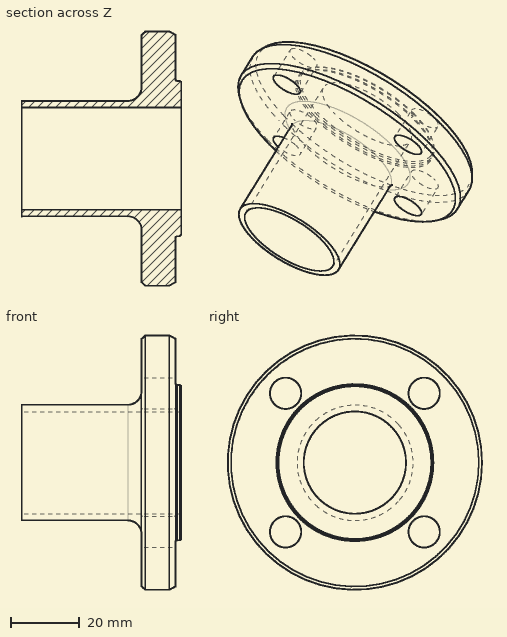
import cadquery as cq
import math

total_length = 46.5
flange_diameter = 74.0
flange_thickness = 9.9
raised_face_diameter = 45.3
raised_face_height = 1.7
pipe_diameter = 33.7
bore_diameter = 29.7
neck_fillet = 4.0

back_chamfer_depth = 1.0
back_chamfer_length = 1.1
front_chamfer_depth = 0.95
front_chamfer_length = 1.8
root_flare_rise = 0.2
root_flare_length = 0.45
face_edge_chamfer = 0.45

bolt_hole_count = 4
bolt_hole_diameter = 9.0
bolt_circle_diameter = 57.0

face_x = total_length / 2
pipe_end_x = -total_length / 2
flange_front_x = face_x - raised_face_height
flange_back_x = flange_front_x - flange_thickness

flange_radius = flange_diameter / 2
face_radius = raised_face_diameter / 2
pipe_radius = pipe_diameter / 2
bore_radius = bore_diameter / 2


def make_body():
    """Revolve the half section of pipe, neck fillet, flange and raised face."""
    fillet_centre_x = flange_back_x - neck_fillet
    fillet_centre_r = pipe_radius + neck_fillet
    diagonal = neck_fillet * math.sqrt(0.5)
    section = (
        cq.Workplane("XY")
        .moveTo(pipe_end_x, bore_radius)
        .lineTo(pipe_end_x, pipe_radius)
        .lineTo(fillet_centre_x, pipe_radius)
        .threePointArc(
            (fillet_centre_x + diagonal, fillet_centre_r - diagonal),
            (flange_back_x, fillet_centre_r),
        )
        .lineTo(flange_back_x, flange_radius - back_chamfer_depth)
        .lineTo(flange_back_x + back_chamfer_length, flange_radius)
        .lineTo(flange_front_x - front_chamfer_length, flange_radius)
        .lineTo(flange_front_x, flange_radius - front_chamfer_depth)
        .lineTo(flange_front_x, face_radius + root_flare_rise)
        .lineTo(flange_front_x + root_flare_length, face_radius)
        .lineTo(face_x - face_edge_chamfer, face_radius)
        .lineTo(face_x, face_radius - face_edge_chamfer)
        .lineTo(face_x, bore_radius)
        .close()
    )
    return section.revolve(360, (0, 0, 0), (1, 0, 0))


def make_bolt_holes():
    """Cylinders through the flange, on the diagonals between Y and Z."""
    return (
        cq.Workplane("YZ", origin=(flange_back_x, 0, 0))
        .polarArray(bolt_circle_diameter / 2, 180 / bolt_hole_count, 360, bolt_hole_count)
        .circle(bolt_hole_diameter / 2)
        .extrude(flange_thickness + raised_face_height)
    )


result = make_body().cut(make_bolt_holes())